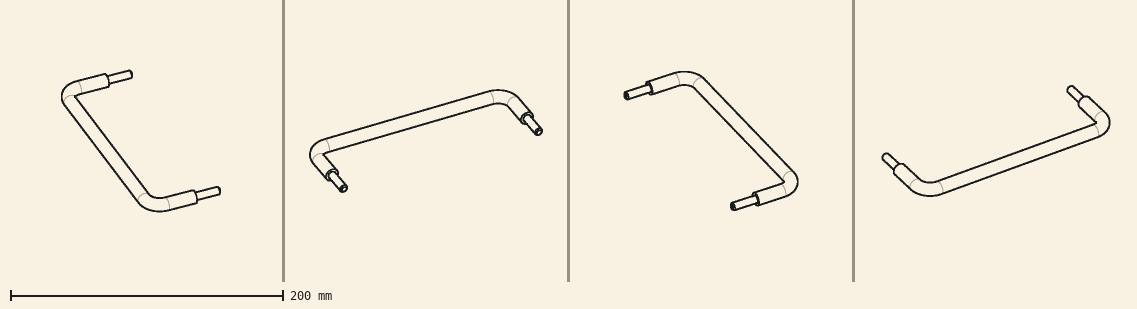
import cadquery as cq

overall_length = 170.0
overall_depth = 60.0
rod_diameter = 10.0
bend_radius = 12.5
stud_diameter = 6.0
stud_length = 20.0
tip_chamfer = 1.0

leg_x = (overall_length - rod_diameter) / 2
stud_tip_y = overall_depth - rod_diameter / 2
shoulder_y = stud_tip_y - stud_length
bend_start_x = leg_x - bend_radius


def bent_rod():
    """Round bar swept along a U: two legs joined to the grip by quarter bends."""
    centreline = (
        cq.Workplane("XY")
        .moveTo(-leg_x, shoulder_y)
        .lineTo(-leg_x, bend_radius)
        .radiusArc((-bend_start_x, 0), -bend_radius)
        .lineTo(bend_start_x, 0)
        .radiusArc((leg_x, bend_radius), -bend_radius)
        .lineTo(leg_x, shoulder_y)
    )
    section = cq.Workplane("XZ", origin=(-leg_x, shoulder_y, 0)).circle(rod_diameter / 2)
    return section.sweep(centreline)


def stud(x):
    """Thinner end stud with a chamfered tip, standing on the leg shoulder."""
    return (
        cq.Workplane("XZ", origin=(x, shoulder_y, 0))
        .circle(stud_diameter / 2)
        .extrude(-stud_length)
        .faces(">Y")
        .chamfer(tip_chamfer)
    )


result = bent_rod()
for x in (-leg_x, leg_x):
    result = result.union(stud(x))